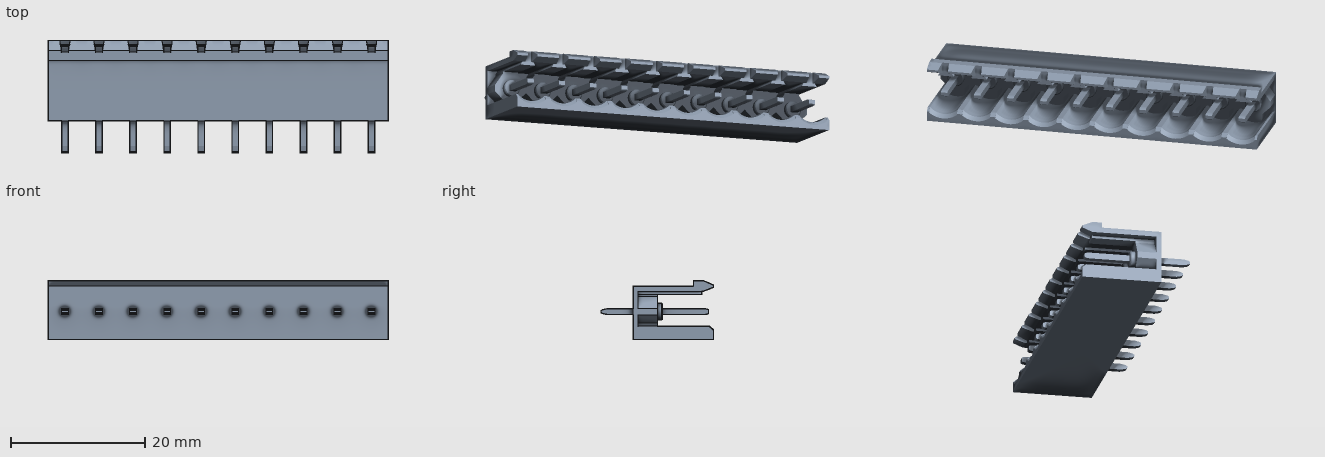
import cadquery as cq
import math

pole_count = 10
pitch = 5.08
length = 50.69
depth = 12.0
top_z = 8.0
wall = 0.75
slab_top = 2.0
ceiling_z = 7.2
lip_chamfer_y = 0.6
lip_chamfer_z = 0.5

hook_top = 8.8
hook_front_y = 9.0
hook_slope_y = 10.5
tip_low_z = 7.8
tip_high_z = 8.15

notch_root_y = 10.25
notch_mouth_width = 1.55
rib_bottom_z = 6.72
rib_root_width = 1.8
rib_bottom_width = 2.4

pin_z = 4.18
pin_width = 1.0
pin_height = 0.92
pin_front_y = -4.8
pin_back_y = 11.25
pin_front_taper = [(0, 0.28), (0.25, 0.6), (1.0, pin_height)]
pin_back_tip_height = 0.5
pin_back_bevel_height = 0.74
pin_back_bevel_length = 0.14
pin_back_curve_length = 0.7

block_back_y = 3.65
block_face_low_z = 3.72
block_face_high_z = 4.55
block_neck_width = rib_bottom_width
block_neck_low_z = 2.45
block_neck_high_z = 6.45
collar_back_y = 4.4
collar_radius = 1.25
collar_chamfer = 0.15
scoop_lip = 0.35
scoop_floor_z = 1.1

first_pin_x = (length - (pole_count - 1) * pitch) / 2
pole_positions = [first_pin_x + i * pitch for i in range(pole_count)]


def polygon_along_x(points, x_start, x_length):
    """Extrude a (y, z) outline along +X."""
    return cq.Workplane("YZ").polyline(points).close().extrude(x_length).translate((x_start, 0, 0))


def polygon_along_y(points, y_start, y_end):
    """Extrude an (x, z) outline from y_start to y_end."""
    plane = cq.Workplane("XZ", origin=(0, y_start, 0))
    return plane.polyline(points).close().extrude(y_start - y_end)


def make_housing():
    """C-shaped section with the hook on its upper arm."""
    section = [
        (0, 0),
        (depth, 0),
        (depth, slab_top - lip_chamfer_z),
        (depth - lip_chamfer_y, slab_top),
        (wall, slab_top),
        (wall, ceiling_z),
        (hook_slope_y, ceiling_z),
        (depth, tip_low_z),
        (depth, tip_high_z),
        (hook_slope_y, hook_top),
        (hook_front_y, hook_top),
        (hook_front_y, top_z),
        (0, top_z),
    ]
    return polygon_along_x(section, 0, length)


def make_scoop(x):
    """Cylinder segment that hollows the lower slab under one pin, flared at the back edge."""
    half_chord = first_pin_x - scoop_lip
    sagitta = slab_top - scoop_floor_z
    radius = (half_chord**2 + sagitta**2) / (2 * sagitta)
    flare_y = depth - lip_chamfer_y
    flared_radius = radius + lip_chamfer_z
    profile = [(0, wall), (radius, wall), (radius, flare_y), (flared_radius, depth), (0, depth)]
    scoop = cq.Workplane("XY").polyline(profile).close().revolve(360, (0, 0, 0), (0, 1, 0))
    keep = cq.Workplane("XY").box(2 * half_chord, depth, slab_top, centered=(True, False, False))
    return scoop.translate((x, 0, scoop_floor_z + radius)).intersect(keep.translate((x, wall, 0)))


def make_notch(x):
    """Tapered notch through the hook, widening towards the back."""
    outline = [
        (x - pin_width / 2, notch_root_y),
        (x + pin_width / 2, notch_root_y),
        (x + notch_mouth_width / 2, depth),
        (x - notch_mouth_width / 2, depth),
    ]
    plane = cq.Workplane("XY", origin=(0, 0, ceiling_z))
    return plane.polyline(outline).close().extrude(hook_top - ceiling_z)


def make_rib(x):
    """Dovetail rib hanging from the upper arm."""
    outline = [
        (x - rib_root_width / 2, ceiling_z),
        (x - rib_bottom_width / 2, rib_bottom_z),
        (x + rib_bottom_width / 2, rib_bottom_z),
        (x + rib_root_width / 2, ceiling_z),
    ]
    return polygon_along_y(outline, wall, notch_root_y)


def make_block(x):
    """Waisted block that joins the slab to the rib and carries the pin."""
    neck = block_neck_width / 2
    face = pitch / 2
    left_side = [
        (-neck, scoop_floor_z),
        (-neck, block_neck_low_z),
        (-face, block_face_low_z),
        (-face, block_face_high_z),
        (-neck, block_neck_high_z),
        (-neck, rib_bottom_z),
    ]
    right_side = [(-dx, z) for dx, z in reversed(left_side)]
    outline = [(x + dx, z) for dx, z in left_side + right_side]
    return polygon_along_y(outline, wall, block_back_y)


def make_collar(x):
    """Round collar around the pin behind its block."""
    plane = cq.Workplane("XZ", origin=(x, block_back_y, pin_z))
    collar = plane.circle(collar_radius).extrude(block_back_y - collar_back_y)
    return collar.faces(">Y").chamfer(collar_chamfer)


def make_pin(x):
    """Rectangular pin with a two-step front taper and a curved, bevelled back end."""
    half = pin_height / 2
    tip = pin_back_tip_height / 2
    bevel = pin_back_bevel_height / 2
    bevel_y = pin_back_y - pin_back_bevel_length
    curve_y = bevel_y - pin_back_curve_length
    middle_y = (curve_y + bevel_y) / 2

    drop = half - bevel
    radius = (pin_back_curve_length**2 + drop**2) / (2 * drop)
    middle = half - radius + math.sqrt(radius**2 - (middle_y - curve_y) ** 2)

    front = [(pin_front_y + distance, height / 2) for distance, height in pin_front_taper]
    front_upper = list(reversed(front))
    front_lower = [(y, -z) for y, z in front]
    outline = (
        cq.Workplane("YZ", origin=(x - pin_width / 2, 0, pin_z))
        .polyline(front_upper + front_lower)
        .lineTo(curve_y, -half)
        .threePointArc((middle_y, -middle), (bevel_y, -bevel))
        .lineTo(pin_back_y, -tip)
        .lineTo(pin_back_y, tip)
        .lineTo(bevel_y, bevel)
        .threePointArc((middle_y, middle), (curve_y, half))
        .close()
    )
    return outline.extrude(pin_width)


def make_envelope():
    """Space between the two end faces, which trims the outermost blocks."""
    span = depth - pin_front_y
    box = cq.Workplane("XY").box(length, span, hook_top, centered=False)
    return box.translate((0, pin_front_y, 0))


result = make_housing()
for pole_x in pole_positions:
    result = result.cut(make_scoop(pole_x)).cut(make_notch(pole_x))
for pole_x in pole_positions:
    for make_feature in (make_rib, make_block, make_collar, make_pin):
        result = result.union(make_feature(pole_x))
result = result.intersect(make_envelope())